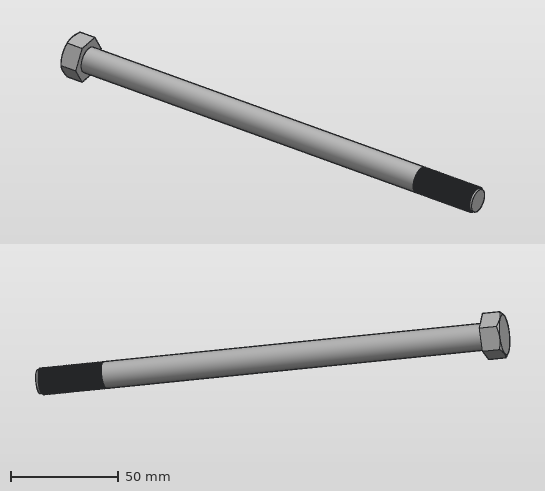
import cadquery as cq
import math

bolt_length = 225.2
head_height = 9.2
across_flats = 19.05
across_corners = across_flats / math.cos(math.pi / 6)
head_face_diameter = 18.7
head_chamfer_angle = math.radians(30)
shank_diameter = 12.7
shank_radius = shank_diameter / 2

thread_length = 32.0
thread_pitch = 1.27
thread_depth = 0.72
root_radius = shank_radius - thread_depth
crest_width = thread_pitch / 8
groove_half_angle = math.radians(30)
flank_steps = 12

tip_length = 1.1


def make_head():
    """Hexagon with corners on Y, its outer corners trimmed by a cone."""
    hexagon = cq.Workplane("YZ").polygon(6, across_corners).extrude(head_height)
    face_radius = head_face_diameter / 2
    cone_radius = face_radius + head_height / math.tan(head_chamfer_angle)
    corner_trim = (
        cq.Workplane("XY")
        .polyline([(0, 0), (0, face_radius), (head_height, cone_radius), (head_height, 0)])
        .close()
        .revolve(360, (0, 0, 0), (1, 0, 0))
    )
    return hexagon.intersect(corner_trim)


def flank_points(start_radius, end_radius, start_angle, end_angle):
    """Points of a spiral whose radius changes evenly with angle."""
    points = []
    for step in range(flank_steps + 1):
        fraction = step / flank_steps
        radius = start_radius + (end_radius - start_radius) * fraction
        angle = start_angle + (end_angle - start_angle) * fraction
        points.append((radius * math.cos(angle), radius * math.sin(angle)))
    return points


def add_arc(outline, radius, start_angle, end_angle):
    """Extend the outline by an arc about the bolt axis."""
    middle_angle = (start_angle + end_angle) / 2
    middle = (radius * math.cos(middle_angle), radius * math.sin(middle_angle))
    end = (radius * math.cos(end_angle), radius * math.sin(end_angle))
    return outline.threePointArc(middle, end)


def make_thread():
    """Twist the cross-section of the thread along X, one full turn per pitch."""
    full_turn = 2 * math.pi
    crest_end = full_turn * crest_width / thread_pitch
    flank_angle = full_turn * thread_depth * math.tan(groove_half_angle) / thread_pitch
    root_start = crest_end + flank_angle
    root_end = full_turn - flank_angle
    falling_flank = flank_points(shank_radius, root_radius, crest_end, root_start)
    rising_flank = flank_points(root_radius, shank_radius, root_end, full_turn)

    outline = cq.Workplane("YZ").workplane(offset=bolt_length - thread_length)
    outline = outline.moveTo(shank_radius, 0)
    outline = add_arc(outline, shank_radius, 0, crest_end)
    outline = outline.spline(falling_flank[1:], includeCurrent=True)
    outline = add_arc(outline, root_radius, root_start, root_end)
    outline = outline.spline(rising_flank[1:], includeCurrent=True)

    twist = 360 * (thread_length - tip_length) / thread_pitch
    return outline.close().twistExtrude(thread_length - tip_length, twist)


def make_cylinder(radius, start_x, end_x):
    """Round bar about the X axis."""
    return cq.Workplane("YZ").workplane(offset=start_x).circle(radius).extrude(end_x - start_x)


plain_shank = make_cylinder(shank_radius, head_height, bolt_length - thread_length)
tip = make_cylinder(root_radius, bolt_length - tip_length, bolt_length)
bolt_body = make_head().union(plain_shank)
bolt = bolt_body.val().fuse(make_thread().val(), tip.val(), glue=True)
result = cq.Workplane(bolt.Solids()[0])